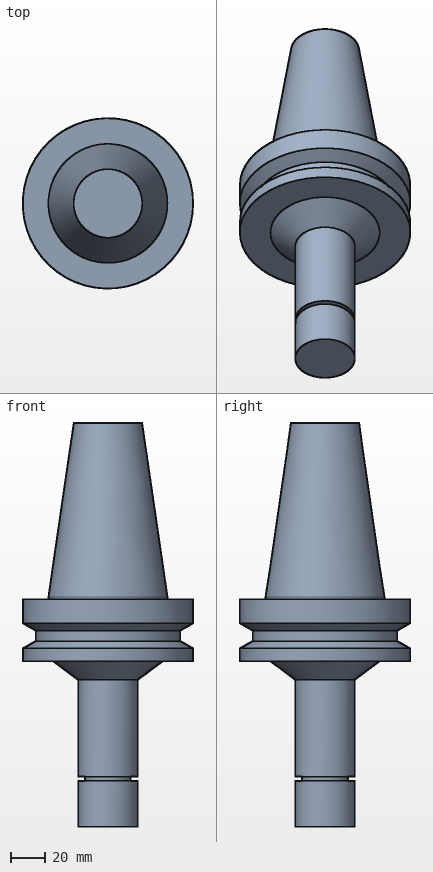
import cadquery as cq
import math


GAUGE_DIAMETER = 69.85
TAPER_LENGTH = 101.8
TAPER_RATIO = 7 / 24
TAPER_END_DIAMETER = GAUGE_DIAMETER - TAPER_RATIO * TAPER_LENGTH

FLANGE_DIAMETER = 100
FLANGE_TOP_Z = -1.5
FLANGE_BOTTOM_Z = -38
GROOVE_FLOOR_DIAMETER = 85
GROOVE_CENTRE_Z = -23
GROOVE_MOUTH_WIDTH = 14.8
GROOVE_FLANK_ANGLE = 30
GROOVE_DEPTH = (FLANGE_DIAMETER - GROOVE_FLOOR_DIAMETER) / 2
GROOVE_FLANK_HEIGHT = GROOVE_DEPTH * math.tan(math.radians(GROOVE_FLANK_ANGLE))
GROOVE_FLOOR_WIDTH = GROOVE_MOUTH_WIDTH - 2 * GROOVE_FLANK_HEIGHT

SHOULDER_DIAMETER = 64
STEM_DIAMETER = 35
STEM_TOP_Z = -48.8
NECK_DIAMETER = 27
NECK_LENGTH = 2.5

NUT_DIAMETER = STEM_DIAMETER
NUT_LENGTH = 27
NOSE_Z = -135
NUT_TOP_Z = NOSE_Z + NUT_LENGTH
STEM_BOTTOM_Z = NUT_TOP_Z + NECK_LENGTH


def make_holder():
    """Turned holder: taper, grooved flange, shoulder, stem and neck."""
    groove_mouth_top_z = GROOVE_CENTRE_Z + GROOVE_MOUTH_WIDTH / 2
    groove_floor_top_z = GROOVE_CENTRE_Z + GROOVE_FLOOR_WIDTH / 2
    groove_floor_bottom_z = GROOVE_CENTRE_Z - GROOVE_FLOOR_WIDTH / 2
    groove_mouth_bottom_z = GROOVE_CENTRE_Z - GROOVE_MOUTH_WIDTH / 2
    half_profile = [
        (0, TAPER_LENGTH),
        (TAPER_END_DIAMETER / 2, TAPER_LENGTH),
        (GAUGE_DIAMETER / 2, 0),
        (GAUGE_DIAMETER / 2, FLANGE_TOP_Z),
        (FLANGE_DIAMETER / 2, FLANGE_TOP_Z),
        (FLANGE_DIAMETER / 2, groove_mouth_top_z),
        (GROOVE_FLOOR_DIAMETER / 2, groove_floor_top_z),
        (GROOVE_FLOOR_DIAMETER / 2, groove_floor_bottom_z),
        (FLANGE_DIAMETER / 2, groove_mouth_bottom_z),
        (FLANGE_DIAMETER / 2, FLANGE_BOTTOM_Z),
        (SHOULDER_DIAMETER / 2, FLANGE_BOTTOM_Z),
        (STEM_DIAMETER / 2, STEM_TOP_Z),
        (STEM_DIAMETER / 2, STEM_BOTTOM_Z),
        (NECK_DIAMETER / 2, STEM_BOTTOM_Z),
        (NECK_DIAMETER / 2, NUT_TOP_Z),
        (0, NUT_TOP_Z),
    ]
    outline = cq.Workplane("XZ").polyline(half_profile).close()
    return outline.revolve(360, (0, 0, 0), (0, 1, 0))


def make_nut():
    """Plain cylindrical nut that seats against the end of the neck."""
    return cq.Workplane("XY").workplane(offset=NOSE_Z).circle(NUT_DIAMETER / 2).extrude(NUT_LENGTH)


holder = make_holder()
nut = make_nut()

result = cq.Compound.makeCompound([holder.val(), nut.val()])